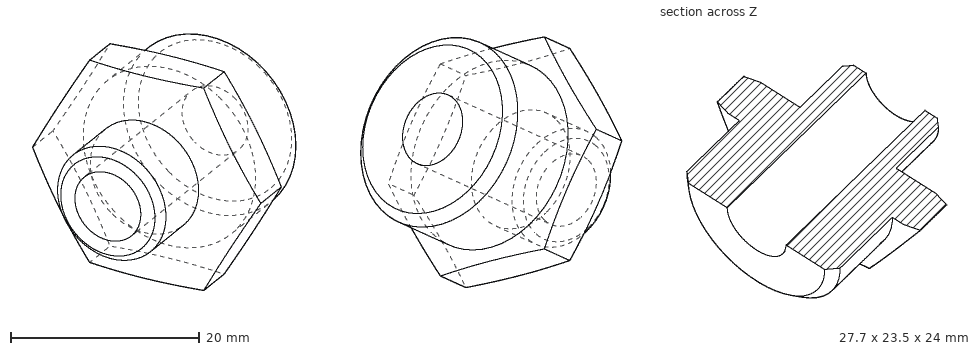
import cadquery as cq
import math

corner_width = 27.7
hex_thickness = 5.5
hex_chamfer_angle = 15.0
large_diameter = 20.95
large_length = 10.0
large_chamfer = 1.15
small_diameter = 13.15
small_length = 8.0
small_chamfer = 0.85
bore_diameter = 8.0

flat_width = corner_width * math.cos(math.radians(30))
total_length = small_length + hex_thickness + large_length


def cylinder(diameter, start_y, length):
    """Solid cylinder on the Y axis, running toward +Y from start_y."""
    plane = cq.Workplane("XZ", origin=(0, start_y, 0))
    return plane.circle(diameter / 2).extrude(-length)


def chamfered_hexagon():
    """Hexagon with corners on X, both faces turned down to the width across flats."""
    prism = cq.Workplane("XZ").polygon(6, corner_width).extrude(-hex_thickness)
    face_radius = flat_width / 2
    corner_radius = corner_width / 2
    corner_drop = (corner_radius - face_radius) * math.tan(math.radians(hex_chamfer_angle))
    turned_envelope = (
        cq.Workplane("XY")
        .moveTo(0, 0)
        .lineTo(face_radius, 0)
        .lineTo(corner_radius, corner_drop)
        .lineTo(corner_radius, hex_thickness - corner_drop)
        .lineTo(face_radius, hex_thickness)
        .lineTo(0, hex_thickness)
        .close()
        .revolve(360, (0, 0, 0), (0, 1, 0))
    )
    return prism.intersect(turned_envelope)


small_spigot = cylinder(small_diameter, -small_length, small_length).faces("<Y").chamfer(small_chamfer)
large_spigot = cylinder(large_diameter, hex_thickness, large_length).faces(">Y").chamfer(large_chamfer)

bore = cylinder(bore_diameter, -small_length, total_length)

result = chamfered_hexagon().union(small_spigot).union(large_spigot).cut(bore)